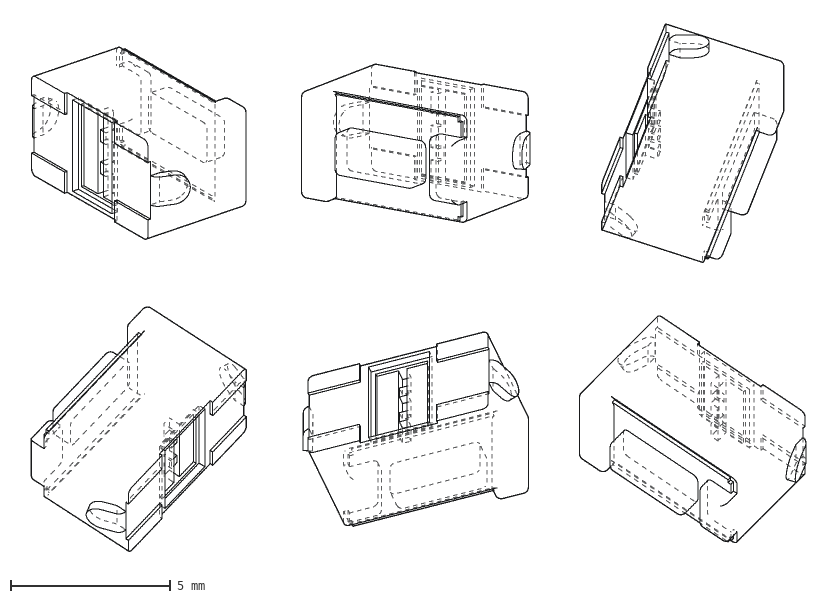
import cadquery as cq
import math

BODY_X = 6.005
BODY_Z = 3.5
EDGE_R = 0.2

FOOT_HEIGHT = 0.1
SHOULDER_Y = 3.38
DECK_Y = 3.5
POST_TOP_Y = 3.995
BUTTON_TOP_Y = 4.3

FOOT_X = 1.71
FOOT_Z = 0.74

POST_X = 1.1
NARROW_POST_Z = 2.1

DECK_END_INSET = 0.15
DECK_SIDE_INSET = 0.05
DECK_NOTCH_X = 0.115
DECK_NOTCH_Z = 0.15

BUTTON_X = 3.01
BUTTON_Z = 1.41

RECESS_X = 2.02
RECESS_Z = 3.2
RECESS_DEPTH = 0.23
RECESS_STEP = 0.15
INNER_DEPTH = 0.1
SLOT_X = 0.28
SLOT_DEPTH = 0.4
BRIDGE_Z = 0.41
BRIDGE_CENTER_Z = 0.56
BRIDGE_SET_BACK = 0.1

TERMINAL_WIDTH = 1.02
TERMINAL_THICKNESS = 0.3
TERMINAL_LEAN = math.radians(20)
TERMINAL_TIP_X = 3.6
BEND_CENTER_X = 2.98
TERMINAL_ROOT = 0.215


def block(size_x, size_z, y_low, y_high, center_x=0, center_z=0):
    """Box between two Y levels."""
    height = y_high - y_low
    center = (center_x, y_low + height / 2, center_z)
    return cq.Workplane("XY").box(size_x, height, size_z).translate(center)


def make_body():
    body = block(BODY_X, BODY_Z, 0, SHOULDER_Y).edges("|Y").fillet(EDGE_R)
    gap_x = BODY_X - 2 * FOOT_X
    gap_z = BODY_Z - 2 * FOOT_Z
    body = body.cut(block(gap_x, BODY_Z, 0, FOOT_HEIGHT))
    return body.cut(block(BODY_X, gap_z, 0, FOOT_HEIGHT))


def make_posts():
    center_x = (BODY_X - POST_X) / 2
    wide_post = block(POST_X, BODY_Z, SHOULDER_Y, POST_TOP_Y, center_x)
    wide_post = wide_post.edges("|Y or >Y").fillet(EDGE_R)
    narrow_post = block(POST_X, NARROW_POST_Z, SHOULDER_Y, POST_TOP_Y, -center_x)
    narrow_post = narrow_post.edges("(|Y and >X) or >Y").fillet(EDGE_R)
    return wide_post.union(narrow_post)


def make_deck():
    x_low = -BODY_X / 2 + DECK_END_INSET
    x_high = BODY_X / 2 - POST_X / 2
    size_z = BODY_Z - 2 * DECK_SIDE_INSET
    deck = block(x_high - x_low, size_z, SHOULDER_Y, DECK_Y, (x_low + x_high) / 2)
    for side in (-1, 1):
        notch_x = x_low + DECK_NOTCH_X / 2
        notch_z = side * (size_z - DECK_NOTCH_Z) / 2
        deck = deck.cut(block(DECK_NOTCH_X, DECK_NOTCH_Z, SHOULDER_Y, DECK_Y, notch_x, notch_z))
    return deck


def make_button():
    button = block(BUTTON_X, BUTTON_Z, DECK_Y, BUTTON_TOP_Y)
    return button.edges("|Y or >Y").fillet(EDGE_R)


def make_recess():
    step_y = FOOT_HEIGHT + RECESS_DEPTH
    floor_y = step_y + INNER_DEPTH
    slot_y = floor_y + SLOT_DEPTH
    inner_x = RECESS_X - 2 * RECESS_STEP
    inner_z = RECESS_Z - 2 * RECESS_STEP
    recess = block(RECESS_X, RECESS_Z, FOOT_HEIGHT, step_y)
    recess = recess.union(block(inner_x, inner_z, step_y, floor_y))
    recess = recess.union(block(SLOT_X, inner_z, floor_y, slot_y))
    for side in (-1, 1):
        bridge = block(SLOT_X, BRIDGE_Z, floor_y + BRIDGE_SET_BACK, slot_y, 0, side * BRIDGE_CENTER_Z)
        recess = recess.cut(bridge)
    return recess


def make_terminal():
    """Terminal on the +X side: flat root, sharp inner bend, leaning round-ended blade."""
    bend_y = FOOT_HEIGHT + TERMINAL_THICKNESS
    along = (math.sin(TERMINAL_LEAN), math.cos(TERMINAL_LEAN))
    outward = (math.cos(TERMINAL_LEAN), -math.sin(TERMINAL_LEAN))
    half_bend = (math.pi / 2 - TERMINAL_LEAN) / 2

    def bend_point(direction_x, direction_y):
        return (
            BEND_CENTER_X + TERMINAL_THICKNESS * direction_x,
            bend_y + TERMINAL_THICKNESS * direction_y,
        )

    bend_end = bend_point(*outward)
    blade_length = (TERMINAL_TIP_X - bend_end[0]) / along[0]
    outer_tip = (TERMINAL_TIP_X, bend_end[1] + blade_length * along[1])
    inner_tip = (BEND_CENTER_X + blade_length * along[0], bend_y + blade_length * along[1])
    root_x = BEND_CENTER_X - TERMINAL_ROOT
    half_width = TERMINAL_WIDTH / 2
    strip = (
        cq.Workplane("XY")
        .workplane(offset=-half_width)
        .moveTo(root_x, FOOT_HEIGHT)
        .lineTo(BEND_CENTER_X, FOOT_HEIGHT)
        .threePointArc(bend_point(math.sin(half_bend), -math.cos(half_bend)), bend_end)
        .lineTo(*outer_tip)
        .lineTo(*inner_tip)
        .lineTo(BEND_CENTER_X, bend_y)
        .lineTo(root_x, bend_y)
        .close()
        .extrude(TERMINAL_WIDTH)
    )
    blade_plane = cq.Plane(
        origin=(*inner_tip, 0),
        xDir=(*along, 0),
        normal=(*outward, 0),
    )
    reach = 2 * TERMINAL_TIP_X
    blade_outline = (
        cq.Workplane(blade_plane)
        .moveTo(-reach, -half_width)
        .lineTo(-half_width, -half_width)
        .threePointArc((0, 0), (-half_width, half_width))
        .lineTo(-reach, half_width)
        .close()
        .extrude(reach, both=True)
    )
    return strip.intersect(blade_outline)


result = make_body().union(make_posts()).union(make_deck()).union(make_button())
result = result.cut(make_recess())
terminal = make_terminal()
result = result.union(terminal).union(terminal.mirror("YZ"))